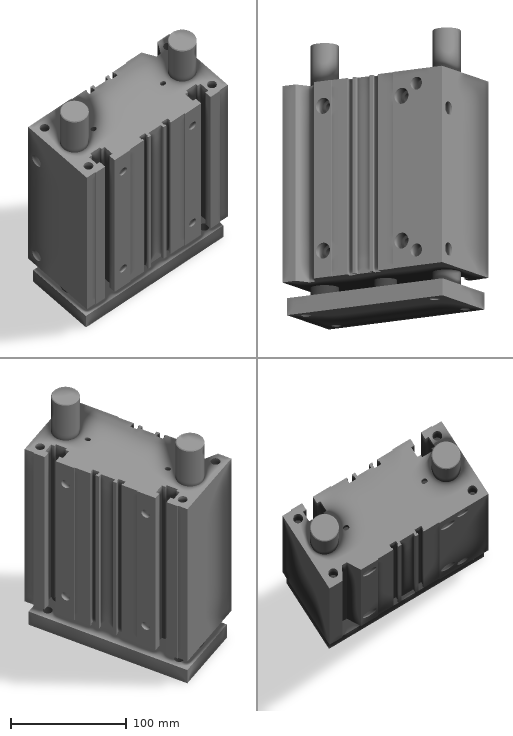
import cadquery as cq

TOTAL_HEIGHT = 243.0
HOUSING_WIDTH = 78.0
HOUSING_LENGTH = 162.0
HOUSING_HEIGHT = 174.0
HOUSING_BOTTOM = 28.5
HOUSING_TOP = HOUSING_BOTTOM + HOUSING_HEIGHT
HALF_WIDTH = HOUSING_WIDTH / 2
HALF_LENGTH = HOUSING_LENGTH / 2

PLATE_WIDTH = 69.7
PLATE_LENGTH = 158.0
PLATE_THICKNESS = 15.0
PLATE_HOLE_DIAMETER = 8.5
PLATE_HOLE_X = 25.3
PLATE_HOLE_Y = 65.4
GUIDE_ROD_DIAMETER = 25.0
GUIDE_ROD_Y = 62.0
GUIDE_ROD_CHAMFER = 0.7
PISTON_ROD_DIAMETER = 20.0

FACE_STEP = 0.7
MIDDLE_STEP_HALF_LENGTH = 31.3
CORNER_STEP_START_Y = 71.7

CENTER_RECESS_HALF_LENGTH = 7.0
CENTER_RECESS_X = 34.7
SENSOR_SLOT_Y = 13.0
SENSOR_NECK_WIDTH = 5.0
SENSOR_SLOT_WIDTH = 6.8
SENSOR_SLOT_OUTER_X = 36.5
SENSOR_SLOT_INNER_X = 32.8

T_SLOT_Y = 55.2
T_NECK_WIDTH = 11.0
T_HEAD_WIDTH = 17.7
T_HEAD_OUTER_X = 32.0
T_HEAD_INNER_X = 21.9
T_SLOT_FLOOR_X = 19.5

GROOVE_Y = 58.3
GROOVE_DEPTH = 12.2
GROOVE_MOUTH_WIDTH = 18.7
GROOVE_FLOOR_WIDTH = 4.9

TOP_HOLE_DIAMETER = 8.5
TOP_HOLE_DEPTH = 20.0
TOP_HOLE_X = 29.0
TOP_HOLE_Y = 71.0
DOWEL_SLOT_LENGTH = 5.5
DOWEL_SLOT_WIDTH = 4.4
DOWEL_SLOT_DEPTH = 6.0
DOWEL_SLOT_Y = 39.9

CROSS_HOLE_DIAMETER = 8.5
CROSS_BORE_DIAMETER = 14.0
CROSS_BORE_DEPTH = 11.0
CROSS_HOLE_Y = 39.9
CROSS_HOLE_HEIGHTS = (52.0, 180.3)

PORT_DIAMETER = 11.5
PORT_DEPTH = 11.0
SIDE_PORT_Y = -55.0
SIDE_PORT_HEIGHTS = (42.0, 189.8)
END_PORT_X = -28.0
END_PORT_HEIGHTS = (42.0, 167.0)


def full_height_block(x_start, x_end, y_start, y_end):
    """Block between two X and two Y positions, as tall as the housing."""
    return (
        cq.Workplane("XY", origin=(0, 0, HOUSING_BOTTOM))
        .moveTo((x_start + x_end) / 2, (y_start + y_end) / 2)
        .rect(abs(x_end - x_start), abs(y_end - y_start))
        .extrude(HOUSING_HEIGHT)
    )


def centered_slot(x_start, x_end, y_center, width):
    """Full-height block of a given width about a Y position."""
    return full_height_block(x_start, x_end, y_center - width / 2, y_center + width / 2)


def hole_from_left(y, z, diameter, depth):
    """Cylinder entering the -X side."""
    return cq.Workplane("YZ", origin=(-HALF_WIDTH, y, z)).circle(diameter / 2).extrude(depth)


def hole_from_front(x, z, diameter, depth):
    """Cylinder entering the -Y side."""
    return cq.Workplane("XZ", origin=(x, -HALF_LENGTH, z)).circle(diameter / 2).extrude(-depth)


def cut_side_steps(body):
    """Step back the middle of both long sides and the two +X corners."""
    for side in (-1, 1):
        outer_x = side * HALF_WIDTH
        body = body.cut(
            centered_slot(outer_x, outer_x - side * FACE_STEP, 0, 2 * MIDDLE_STEP_HALF_LENGTH)
        )
    for end in (-1, 1):
        body = body.cut(
            full_height_block(
                HALF_WIDTH - FACE_STEP, HALF_WIDTH, end * CORNER_STEP_START_Y, end * HALF_LENGTH
            )
        )
    return body


def cut_sensor_slots(body):
    """Cut the centre recess and two undercut sensor slots in each long side."""
    for side in (-1, 1):
        outer_x = side * HALF_WIDTH
        body = body.cut(
            centered_slot(outer_x, side * CENTER_RECESS_X, 0, 2 * CENTER_RECESS_HALF_LENGTH)
        )
        for slot_y in (-SENSOR_SLOT_Y, SENSOR_SLOT_Y):
            neck = centered_slot(outer_x, side * SENSOR_SLOT_INNER_X, slot_y, SENSOR_NECK_WIDTH)
            undercut = centered_slot(
                side * SENSOR_SLOT_OUTER_X, side * SENSOR_SLOT_INNER_X, slot_y, SENSOR_SLOT_WIDTH
            )
            body = body.cut(neck).cut(undercut)
    return body


def cut_t_slots(body):
    """Cut the two mounting T-slots, each with a deeper floor behind its neck."""
    for slot_y in (-T_SLOT_Y, T_SLOT_Y):
        neck = centered_slot(T_SLOT_FLOOR_X, HALF_WIDTH, slot_y, T_NECK_WIDTH)
        head = centered_slot(T_HEAD_INNER_X, T_HEAD_OUTER_X, slot_y, T_HEAD_WIDTH)
        body = body.cut(neck).cut(head)
    return body


def cut_trapezoid_groove(body):
    """Cut the tapered groove running the full height of the -X side."""
    floor_x = -HALF_WIDTH + GROOVE_DEPTH
    groove = (
        cq.Workplane("XY", origin=(0, 0, HOUSING_BOTTOM))
        .polyline([
            (-HALF_WIDTH, GROOVE_Y - GROOVE_MOUTH_WIDTH / 2),
            (floor_x, GROOVE_Y - GROOVE_FLOOR_WIDTH / 2),
            (floor_x, GROOVE_Y + GROOVE_FLOOR_WIDTH / 2),
            (-HALF_WIDTH, GROOVE_Y + GROOVE_MOUTH_WIDTH / 2),
        ])
        .close()
        .extrude(HOUSING_HEIGHT)
    )
    return body.cut(groove)


def cut_top_holes(body):
    """Cut the four corner holes and the two dowel slots in the top face."""
    top = cq.Workplane("XY", origin=(0, 0, HOUSING_TOP))
    corner_holes = (
        top.rect(2 * TOP_HOLE_X, 2 * TOP_HOLE_Y, forConstruction=True)
        .vertices()
        .circle(TOP_HOLE_DIAMETER / 2)
        .extrude(-TOP_HOLE_DEPTH)
    )
    dowel_slots = (
        top.pushPoints([(0, -DOWEL_SLOT_Y), (0, DOWEL_SLOT_Y)])
        .slot2D(DOWEL_SLOT_LENGTH, DOWEL_SLOT_WIDTH, 90)
        .extrude(-DOWEL_SLOT_DEPTH)
    )
    return body.cut(corner_holes).cut(dowel_slots)


def cut_cross_holes(body):
    """Cut the four through holes along X, counterbored from the -X side."""
    for y in (-CROSS_HOLE_Y, CROSS_HOLE_Y):
        for z in CROSS_HOLE_HEIGHTS:
            body = body.cut(hole_from_left(y, z, CROSS_HOLE_DIAMETER, HOUSING_WIDTH))
            body = body.cut(hole_from_left(y, z, CROSS_BORE_DIAMETER, CROSS_BORE_DEPTH))
    return body


def cut_ports(body):
    """Cut the air ports in the -X and -Y sides."""
    for z in SIDE_PORT_HEIGHTS:
        body = body.cut(hole_from_left(SIDE_PORT_Y, z, PORT_DIAMETER, PORT_DEPTH))
    for z in END_PORT_HEIGHTS:
        body = body.cut(hole_from_front(END_PORT_X, z, PORT_DIAMETER, PORT_DEPTH))
    return body


def cut_guide_bores(body):
    """Cut the bores that carry the guide rods right through the housing."""
    bores = (
        cq.Workplane("XY", origin=(0, 0, HOUSING_BOTTOM))
        .pushPoints([(0, -GUIDE_ROD_Y), (0, GUIDE_ROD_Y)])
        .circle(GUIDE_ROD_DIAMETER / 2)
        .extrude(HOUSING_HEIGHT)
    )
    return body.cut(bores)


def make_housing():
    """Extruded cylinder housing with its slots, holes and ports."""
    body = full_height_block(-HALF_WIDTH, HALF_WIDTH, -HALF_LENGTH, HALF_LENGTH)
    body = cut_side_steps(body)
    body = cut_sensor_slots(body)
    body = cut_t_slots(body)
    body = cut_trapezoid_groove(body)
    body = cut_top_holes(body)
    body = cut_cross_holes(body)
    body = cut_ports(body)
    return cut_guide_bores(body)


def make_slide():
    """Tool plate carrying both guide rods and the piston rod."""
    plate = (
        cq.Workplane("XY")
        .rect(PLATE_WIDTH, PLATE_LENGTH)
        .extrude(PLATE_THICKNESS)
        .faces(">Z")
        .workplane()
        .rect(2 * PLATE_HOLE_X, 2 * PLATE_HOLE_Y, forConstruction=True)
        .vertices()
        .hole(PLATE_HOLE_DIAMETER)
    )
    plate_top = cq.Workplane("XY", origin=(0, 0, PLATE_THICKNESS))
    guide_rods = (
        plate_top.pushPoints([(0, -GUIDE_ROD_Y), (0, GUIDE_ROD_Y)])
        .circle(GUIDE_ROD_DIAMETER / 2)
        .extrude(TOTAL_HEIGHT - PLATE_THICKNESS)
        .faces(">Z")
        .edges()
        .chamfer(GUIDE_ROD_CHAMFER)
    )
    piston_rod = plate_top.circle(PISTON_ROD_DIAMETER / 2).extrude(HOUSING_BOTTOM - PLATE_THICKNESS)
    return plate.union(guide_rods).union(piston_rod)


housing = make_housing()
slide = make_slide()

result = cq.Compound.makeCompound([housing.val(), slide.val()])